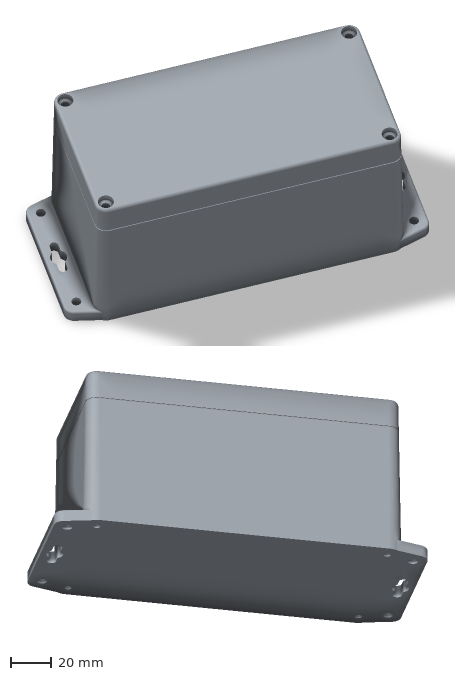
import cadquery as cq
import math

total_height = 85.0
parting_height = 69.5
bottom_width = 82.5
bottom_length = 162.3
side_draft = 1.0
bottom_corner_radius = 7.0
lid_edge_fillet = 1.7

groove_height = 0.5
groove_depth = 0.4

flange_tip_y = 95.2
flange_thickness = 6.5
flange_tip_half_width = 35.5
flange_side_angle = 15.0
flange_corner_radius = 5.3
flange_edge_fillet = 1.1

mount_y = 88.2
mount_hole_x = 29.9
mount_hole_diameter = 5.0
slot_length = 19.6
slot_width = 4.5
slot_center_diameter = 8.5

counterbore_diameter = 8.0
counterbore_depth = 3.5
lid_hole_diameter = 4.4
housing_hole_diameter = 3.6

parting_inset = parting_height * math.tan(math.radians(side_draft))
lid_width = bottom_width - 2 * parting_inset
lid_length = bottom_length - 2 * parting_inset
lid_corner_radius = bottom_corner_radius - parting_inset
lid_height = total_height - parting_height
screw_x = bottom_width / 2 - bottom_corner_radius
screw_y = bottom_length / 2 - bottom_corner_radius
screw_points = [(x, y) for x in (-screw_x, screw_x) for y in (-screw_y, screw_y)]
mount_hole_points = [(x, y) for x in (-mount_hole_x, mount_hole_x) for y in (-mount_y, mount_y)]
slot_points = [(0, -mount_y), (0, mount_y)]


def rounded_rectangle(width, length, radius):
    """Rectangle centred on the origin with four equal corner arcs."""
    return cq.Sketch().rect(width, length).vertices().fillet(radius)


def make_flanges():
    """Pair of mounting flanges that narrow towards their tips and reach into the housing."""
    slope = math.tan(math.radians(flange_side_angle))
    root_y = screw_y
    root_half_width = flange_tip_half_width + slope * (flange_tip_y - root_y)
    flange = (
        cq.Workplane("XY")
        .moveTo(-root_half_width, root_y)
        .lineTo(-flange_tip_half_width, flange_tip_y)
        .lineTo(flange_tip_half_width, flange_tip_y)
        .lineTo(root_half_width, root_y)
        .close()
        .extrude(flange_thickness)
        .edges("|Z and >Y")
        .fillet(flange_corner_radius)
        .faces(">Z")
        .edges("not <Y")
        .fillet(flange_edge_fillet)
    )
    return flange.union(flange.mirror("XZ"))


def make_groove_cutter():
    """Ring that trims the top rim of the housing back from the lid outline."""
    rim = cq.Workplane("XY").workplane(offset=parting_height - groove_height)
    outer = rim.rect(bottom_width, bottom_length).extrude(groove_height)
    core = rim.placeSketch(
        rounded_rectangle(
            lid_width - 2 * groove_depth,
            lid_length - 2 * groove_depth,
            lid_corner_radius - groove_depth,
        )
    ).extrude(groove_height)
    return outer.cut(core)


def make_flange_openings():
    """Round mounting holes and keyhole slots through both flanges."""
    base = cq.Workplane("XY")
    holes = base.pushPoints(mount_hole_points).circle(mount_hole_diameter / 2).extrude(flange_thickness)
    slots = base.pushPoints(slot_points).slot2D(slot_length, slot_width).extrude(flange_thickness)
    centers = base.pushPoints(slot_points).circle(slot_center_diameter / 2).extrude(flange_thickness)
    return holes.union(slots).union(centers)


def make_housing():
    """Tapered box with end flanges; the screw holes run down through its whole height."""
    base = cq.Workplane("XY")
    screw_holes = base.pushPoints(screw_points).circle(housing_hole_diameter / 2).extrude(parting_height)
    return (
        cq.Workplane("XY")
        .placeSketch(rounded_rectangle(bottom_width, bottom_length, bottom_corner_radius))
        .extrude(parting_height, taper=side_draft)
        .cut(make_groove_cutter())
        .union(make_flanges())
        .cut(make_flange_openings())
        .cut(screw_holes)
    )


def make_lid():
    """Lid with a rounded top edge and counterbored corner screw holes."""
    return (
        cq.Workplane("XY")
        .workplane(offset=parting_height)
        .placeSketch(rounded_rectangle(lid_width, lid_length, lid_corner_radius))
        .extrude(lid_height, taper=side_draft)
        .faces(">Z")
        .edges()
        .fillet(lid_edge_fillet)
        .faces(">Z")
        .workplane(origin=(0, 0, total_height))
        .pushPoints(screw_points)
        .cboreHole(lid_hole_diameter, counterbore_diameter, counterbore_depth)
    )


housing = make_housing()
lid = make_lid()
result = cq.Compound.makeCompound([housing.solids().val(), lid.solids().val()])